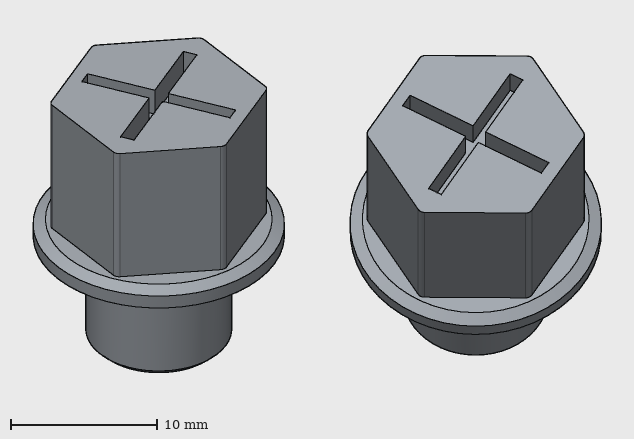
import cadquery as cq

total_height = 20.0
shank_length = 8.3
flange_thickness = 1.4
flange_top = shank_length + flange_thickness
head_height = total_height - flange_top

shank_diameter = 10.0
shank_chamfer = 0.5

flange_diameter = 17.2
bevel_width = 0.85
bevel_height = 0.4

across_flats = 13.0
corner_radius = 0.5

slot_length = 11.0
slot_width = 1.0
slot_depth = 2.0


def make_shank():
    shank = cq.Workplane("XY").circle(shank_diameter / 2).extrude(shank_length)
    return shank.faces("<Z").chamfer(shank_chamfer)


def make_flange():
    radius = flange_diameter / 2
    profile = (
        cq.Workplane("XZ")
        .moveTo(0, shank_length)
        .lineTo(radius, shank_length)
        .lineTo(radius, flange_top - bevel_height)
        .lineTo(radius - bevel_width, flange_top)
        .lineTo(0, flange_top)
        .close()
    )
    return profile.revolve(360, (0, 0, 0), (0, 1, 0))


def make_head():
    head = (
        cq.Workplane("XY", origin=(0, 0, flange_top))
        .polygon(6, across_flats, circumscribed=True)
        .extrude(head_height)
    )
    return head.edges("|Z").fillet(corner_radius)


def make_cross_recess():
    floor = cq.Workplane("XY", origin=(0, 0, total_height - slot_depth))
    along_x = floor.rect(slot_length, slot_width).extrude(slot_depth)
    along_y = floor.rect(slot_width, slot_length).extrude(slot_depth)
    return along_x.union(along_y)


result = make_shank().union(make_flange()).union(make_head()).cut(make_cross_recess())